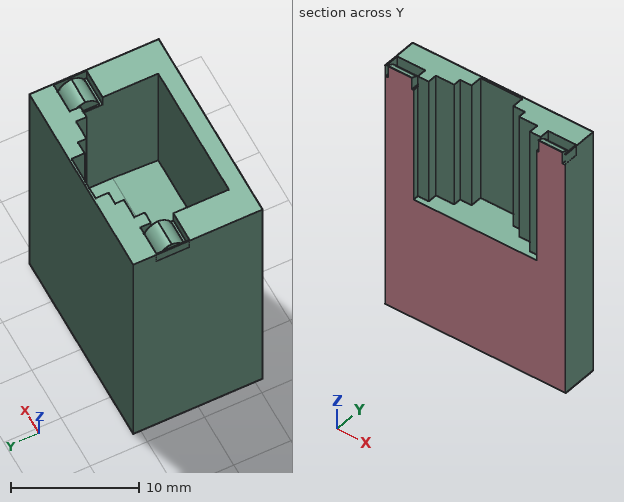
import cadquery as cq
import math

width = 17.8
depth = 11.3
total_height = 24.22
lens_projection = 0.1
body_height = total_height - lens_projection
front_y = -depth / 2

cavity_half_width = 6.05
cavity_front = 1.5
ledge = 8.3
cavity_depth = 12.1
latch_steps = [(5.0, 9.23), (3.2, 9.98), (2.05, 11.12)]

ramp_length = 4.0
ramp_drop = 0.25

window_width = 2.75
window_length = 2.88
window_center = 7.8
lens_width = 2.4
lens_half_length = 1.24
lens_height = 1.15
lens_radius = 1.57
window_floor = total_height - lens_height
lens_offset = 7.4


def cavity_prism(half_width, start, end):
    """Rectangular part of the cavity, open at the top."""
    return (
        cq.Workplane("XY")
        .box(2 * half_width, end - start, cavity_depth, centered=(True, False, False))
        .translate((0, front_y + start, body_height - cavity_depth))
    )


def floor_ramp():
    """Wedge cut that lowers the cavity floor towards the front wall."""
    floor_z = body_height - cavity_depth
    ramp_front = front_y + cavity_front
    return (
        cq.Workplane("YZ")
        .polyline([
            (ramp_front, floor_z),
            (ramp_front, floor_z - ramp_drop),
            (ramp_front + ramp_length, floor_z),
        ])
        .close()
        .extrude(cavity_half_width, both=True)
    )


def window(side):
    """Shallow pocket beside the cavity; side is -1 or 1."""
    center_x = side * (cavity_half_width + window_width / 2)
    return (
        cq.Workplane("XY")
        .box(window_width, window_length, body_height - window_floor, centered=(True, True, False))
        .translate((center_x, front_y + window_center, window_floor))
    )


def lens(side):
    """Pointed arch lying along X on the window floor: two arcs meeting at a crest."""
    chord = math.hypot(lens_half_length, lens_height)
    bulge = lens_radius - math.sqrt(lens_radius**2 - (chord / 2) ** 2)
    arc_middle_y = lens_half_length / 2 + bulge * lens_height / chord
    arc_middle_z = lens_height / 2 + bulge * lens_half_length / chord
    return (
        cq.Workplane("YZ")
        .moveTo(-lens_half_length, 0)
        .threePointArc((-arc_middle_y, arc_middle_z), (0, lens_height))
        .threePointArc((arc_middle_y, arc_middle_z), (lens_half_length, 0))
        .close()
        .extrude(lens_width / 2, both=True)
        .translate((side * lens_offset, front_y + window_center, window_floor))
    )


result = cq.Workplane("XY").box(width, depth, body_height, centered=(True, True, False))
result = result.cut(cavity_prism(cavity_half_width, cavity_front, ledge))
for half_width, back in latch_steps:
    result = result.cut(cavity_prism(half_width, cavity_front, back))
result = result.cut(floor_ramp())

for side in (-1, 1):
    result = result.cut(window(side)).union(lens(side))